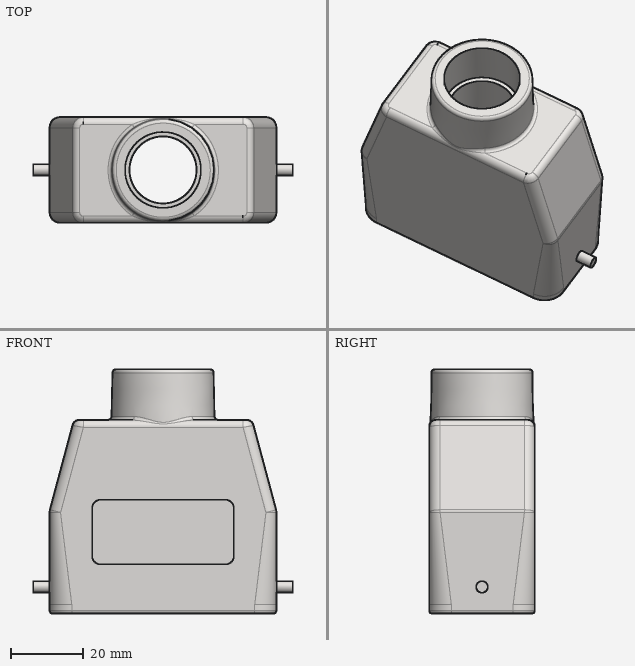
import cadquery as cq
import math

body_length = 62.8
body_depth = 29.3
body_height = 53.6
shoulder_height = 28.4
side_lean = 15.0
shoulder_radius = 3.2
corner_radius = 3.0
base_corner_radius = 6.1
base_band_height = 2.6
base_edge_radius = 0.9
top_edge_radius = 2.0

overall_height = 67.6
neck_top_diameter = 28.0
neck_base_diameter = 28.6
neck_rim_radius = 1.0
neck_root_radius = 1.0
bore_diameter = 18.5
counterbore_diameter = 21.0
counterbore_depth = 13.5

pin_span = 71.8
pin_diameter = 3.2
pin_height = 7.4

recess_width = 39.2
recess_height = 17.9
recess_centre_height = 22.55
recess_corner_radius = 2.4
recess_depth = 0.8

lower_top = shoulder_height - shoulder_radius * math.tan(math.radians(side_lean / 2))


def rounded_rectangle(radius, height=0):
    """Outline of the upright walls at the given height."""
    outline = cq.Sketch().rect(body_length, body_depth).vertices().fillet(radius)
    return outline.moved(cq.Location(cq.Vector(0, 0, height)))


def make_lower_body():
    """Upright walls whose corner radius shrinks from the base band up to the shoulder."""
    band = cq.Workplane("XY").placeSketch(rounded_rectangle(base_corner_radius)).extrude(base_band_height)
    band = band.faces("<Z").edges().fillet(base_edge_radius)
    walls = (
        cq.Workplane("XY")
        .placeSketch(
            rounded_rectangle(base_corner_radius, base_band_height),
            rounded_rectangle(corner_radius, lower_top),
        )
        .loft(ruled=True)
    )
    return band.union(walls)


def make_upper_body():
    """Tapered upper body with rounded shoulders, corners and top edges."""
    half_length = body_length / 2
    lean = math.radians(side_lean)
    half_top = half_length - (body_height - shoulder_height) * math.tan(lean)
    arc_end_x = half_length - shoulder_radius * (1 - math.cos(lean))
    arc_end_z = lower_top + shoulder_radius * math.sin(lean)
    arc_mid_x = half_length - shoulder_radius * (1 - math.cos(lean / 2))
    arc_mid_z = lower_top + shoulder_radius * math.sin(lean / 2)
    upper = (
        cq.Workplane("XZ")
        .moveTo(half_length, lower_top)
        .threePointArc((arc_mid_x, arc_mid_z), (arc_end_x, arc_end_z))
        .lineTo(half_top, body_height)
        .lineTo(-half_top, body_height)
        .lineTo(-arc_end_x, arc_end_z)
        .threePointArc((-arc_mid_x, arc_mid_z), (-half_length, lower_top))
        .close()
        .extrude(body_depth / 2, both=True)
    )
    end_corners = upper.faces("<Y or >Y").edges("not |X")
    upper = end_corners.fillet(corner_radius)
    return upper.faces(">Z").edges().fillet(top_edge_radius)


def add_neck(body):
    """Drafted neck, sunk into the body so that it also meets the rounded top edges."""
    draft = (neck_base_diameter - neck_top_diameter) / 2 / (overall_height - body_height)
    sunk_height = body_height - 2 * top_edge_radius
    sunk_radius = neck_top_diameter / 2 + draft * (overall_height - sunk_height)
    neck = (
        cq.Workplane("XZ")
        .moveTo(0, sunk_height)
        .lineTo(sunk_radius, sunk_height)
        .lineTo(neck_top_diameter / 2, overall_height)
        .lineTo(0, overall_height)
        .close()
        .revolve(360, (0, 0), (0, 1))
        .faces(">Z")
        .edges()
        .fillet(neck_rim_radius)
    )
    neck_root = cq.selectors.BoxSelector(
        (-neck_top_diameter / 2, -neck_top_diameter / 2, body_height - top_edge_radius / 2),
        (neck_top_diameter / 2, neck_top_diameter / 2, body_height + top_edge_radius / 2),
    )
    return body.union(neck).edges(neck_root).fillet(neck_root_radius)


def cut_bore(body):
    """Stepped bore down the neck and on through the base."""
    through_bore = cq.Workplane("XY").circle(bore_diameter / 2).extrude(overall_height)
    counterbore = (
        cq.Workplane("XY", origin=(0, 0, overall_height))
        .circle(counterbore_diameter / 2)
        .extrude(-counterbore_depth)
    )
    return body.cut(through_bore).cut(counterbore)


def cut_label_recess(body):
    """Shallow rounded rectangle in the -Y face."""
    recess = (
        cq.Workplane("XZ", origin=(0, -body_depth / 2, recess_centre_height))
        .rect(recess_width, recess_height)
        .extrude(-recess_depth)
        .edges("|Y")
        .fillet(recess_corner_radius)
    )
    return body.cut(recess)


def add_pins(body):
    """One rod through the body, leaving a pin standing out at each end."""
    rod = cq.Workplane("YZ").center(0, pin_height).circle(pin_diameter / 2).extrude(pin_span / 2, both=True)
    return body.union(rod)


hood = make_lower_body().union(make_upper_body())
hood = add_neck(hood)
hood = add_pins(hood)
hood = cut_bore(hood)
result = cut_label_recess(hood)